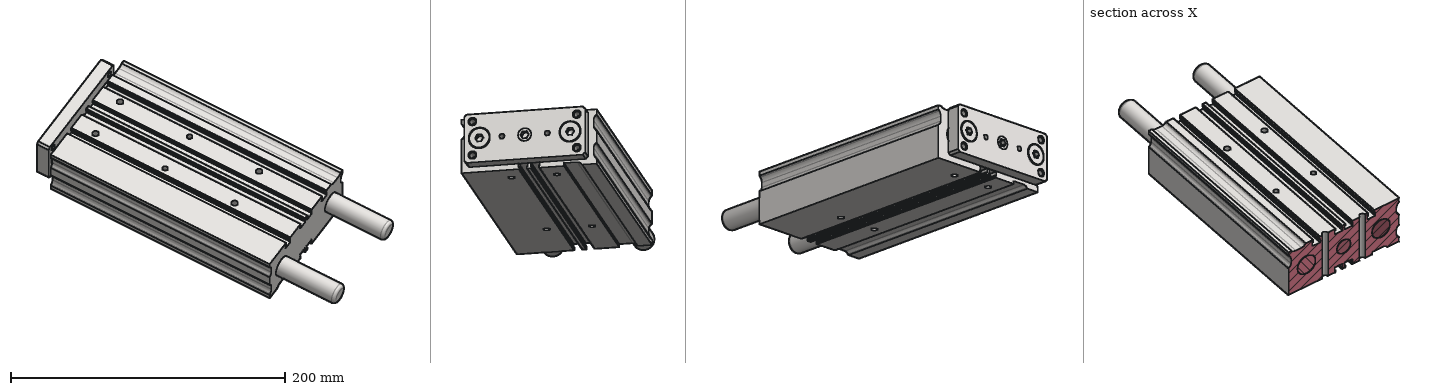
import cadquery as cq
import math

total_length = 253.0

plate_thickness = 10.0
plate_width = 90.3
plate_height = 37.2
plate_corner = 1.8
mount_spacing_y = 78.0
mount_spacing_z = 25.8
mount_hole_diameter = 4.5
mount_countersink_diameter = 6.0
mount_countersink_angle = 90.0
dowel_diameter = 3.8

housing_start = 15.2
housing_end = 203.2
housing_width = 101.0
housing_height = 42.0
housing_length = housing_end - housing_start
half_width = housing_width / 2
half_height = housing_height / 2

lead_in = 0.8
channel_depth = 2.3
arc_rise = channel_depth - lead_in
short_arc_run = 3.0
long_arc_run = 3.8
side_channel_start = 4.8
side_channel_floor = 3.8
top_channel_start = 34.7
top_channel_floor = 5.3
bottom_channel_start = -39.7
bottom_channel_floor = 9.9

slot_opening = 5.3
slot_undercut = 0.8
slot_chamfer = 0.5
inner_slot_y = 4.5
inner_slot_depth = 4.8
inner_slot_lip = 1.8
outer_slot_y = 25.0
outer_slot_depth = 5.8
outer_slot_lip = 2.8

fixing_row_y = 17.0
fixing_start_x = 33.0
fixing_pitch = 59.7
fixing_diameter = 4.8
locating_diameter = 4.0
locating_depth = 6.0

guide_diameter = 16.0
guide_y = 34.0
guide_front_chamfer = 0.5
guide_tip_radius = 2.5
piston_rod_diameter = 12.0
piston_rod_insertion = 20.2
piston_rod_end = housing_start + piston_rod_insertion
bolt_diameter = 9.9
hex_across_flats = 5.3
hex_depth = 4.0
drill_point_angle = 118.0


def rod_along_x(diameter, start, end, y=0.0):
    """Cylinder parallel to X between two X positions."""
    return cq.Workplane("YZ", origin=(start, y, 0)).circle(diameter / 2).extrude(end - start)


def hex_socket(y=0.0):
    """Hexagonal socket sunk from the front, with two corners pointing along Y."""
    across_corners = hex_across_flats / math.cos(math.pi / 6)
    return cq.Workplane("YZ", origin=(0, y, 0)).polygon(6, across_corners).extrude(hex_depth)


def drill_point(y):
    """Cone left by the drill at the bottom of a hex socket."""
    radius = hex_across_flats / 2
    height = radius / math.tan(math.radians(drill_point_angle / 2))
    cone = cq.Solid.makeCone(radius, 0, height, cq.Vector(hex_depth, y, 0), cq.Vector(1, 0, 0))
    return cq.Workplane(cone)


def begin_channel(y, z, along, outward, floor):
    """Profile from the face through the lead-in and short arc to the far end of the floor."""
    normal = cq.Vector(*along).cross(cq.Vector(*outward))
    plane = cq.Plane(origin=(housing_start, y, z), xDir=along, normal=normal)
    radius = (short_arc_run**2 + arc_rise**2) / (2 * arc_rise)
    arc_end = lead_in + short_arc_run
    half_angle = math.asin(short_arc_run / radius) / 2
    arc_middle = (
        arc_end - radius * math.sin(half_angle),
        -channel_depth + radius * (1 - math.cos(half_angle)),
    )
    return (
        cq.Workplane(plane)
        .lineTo(lead_in, -lead_in)
        .threePointArc(arc_middle, (arc_end, -channel_depth))
        .line(floor, 0)
    )


def add_long_arc(profile):
    """Concave arc from the end of the floor up to the lead-in depth."""
    return profile.tangentArcPoint((long_arc_run, arc_rise))


def finish_channel(profile):
    """Close the profile along the face and run it the length of the housing."""
    toward_back = profile.plane.zDir.x
    return profile.close().extrude(toward_back * housing_length)


def side_channel(outward_y, outward_z):
    """Channel in a side face, its short arc nearer to the middle height."""
    profile = begin_channel(
        outward_y * half_width,
        outward_z * side_channel_start,
        (0, 0, outward_z),
        (0, outward_y, 0),
        side_channel_floor,
    )
    return finish_channel(add_long_arc(profile).line(lead_in, lead_in))


def top_channel():
    """Channel in the top face; the land beyond it to the +Y edge stays lowered by the lead-in."""
    profile = begin_channel(top_channel_start, half_height, (0, 1, 0), (0, 0, 1), top_channel_floor)
    land_end = half_width - top_channel_start
    return finish_channel(add_long_arc(profile).lineTo(land_end, -lead_in).line(0, lead_in))


def bottom_channel():
    """Channel in the bottom face, ended by an upright wall."""
    profile = begin_channel(
        bottom_channel_start, -half_height, (0, 1, 0), (0, 0, -1), bottom_channel_floor
    )
    return finish_channel(profile.line(0, channel_depth))


def t_slot(y, depth, lip, left_chamfer=slot_chamfer, right_chamfer=slot_chamfer):
    """T-slot cutter in the top face; left is its -Y edge and right its +Y edge."""
    half_opening = slot_opening / 2
    half_inside = half_opening + slot_undercut
    points = [
        (-half_opening - left_chamfer, 0),
        (-half_opening, -left_chamfer),
        (-half_opening, -lip),
        (-half_inside, -lip),
        (-half_inside, -depth),
        (half_inside, -depth),
        (half_inside, -lip),
        (half_opening, -lip),
        (half_opening, -right_chamfer),
        (half_opening + right_chamfer, 0),
    ]
    outline = [point for i, point in enumerate(points) if i == 0 or point != points[i - 1]]
    profile = cq.Workplane("YZ", origin=(housing_start, y, half_height)).polyline(outline)
    return profile.close().extrude(housing_length)


def hole_from_top(x, y, diameter, depth):
    """Vertical hole cutter starting at the top face of the housing."""
    return cq.Workplane("XY", origin=(x, y, half_height)).circle(diameter / 2).extrude(-depth)


def make_housing():
    housing = cq.Workplane("XY").box(housing_length, housing_width, housing_height)
    housing = housing.translate((housing_start + housing_length / 2, 0, 0))

    for outward_y, outward_z in [(-1, 1), (-1, -1), (1, 1)]:
        housing = housing.cut(side_channel(outward_y, outward_z))
    housing = housing.cut(top_channel()).cut(bottom_channel())

    for side in (-1, 1):
        inner_slot = t_slot(side * inner_slot_y, inner_slot_depth, inner_slot_lip)
        housing = housing.cut(inner_slot).cut(inner_slot.mirror("XY"))
    housing = housing.cut(t_slot(outer_slot_y, outer_slot_depth, outer_slot_lip))
    housing = housing.cut(t_slot(-outer_slot_y, outer_slot_depth, outer_slot_lip, left_chamfer=0))

    for y in (-fixing_row_y, fixing_row_y):
        locating_x = fixing_start_x + fixing_pitch
        fixing_end_x = locating_x + fixing_pitch
        for x in (fixing_start_x, fixing_end_x):
            housing = housing.cut(hole_from_top(x, y, fixing_diameter, housing_height))
        housing = housing.cut(hole_from_top(locating_x, y, locating_diameter, locating_depth))

    for y in (-guide_y, guide_y):
        housing = housing.cut(rod_along_x(guide_diameter, housing_start, housing_end, y))
    return housing.cut(rod_along_x(piston_rod_diameter, housing_start, piston_rod_end))


def make_plate():
    plate = cq.Workplane("YZ").rect(plate_width, plate_height).extrude(plate_thickness)
    plate = plate.edges("|X").chamfer(plate_corner)
    plate = (
        plate.faces("<X")
        .workplane(origin=(0, 0, 0))
        .rect(mount_spacing_y, mount_spacing_z, forConstruction=True)
        .vertices()
        .cskHole(mount_hole_diameter, mount_countersink_diameter, mount_countersink_angle)
    )
    for side in (-1, 1):
        plate = plate.cut(rod_along_x(dowel_diameter, 0, plate_thickness, side * fixing_row_y))
        plate = plate.cut(rod_along_x(guide_diameter, 0, plate_thickness, side * guide_y))
    return plate.cut(rod_along_x(bolt_diameter, 0, plate_thickness))


def make_guide_rod(y):
    """Guide rod from the plate front, through the housing, to the rounded back tip."""
    rod = rod_along_x(guide_diameter, 0, total_length, y)
    rod = rod.faces("<X").edges().chamfer(guide_front_chamfer)
    rod = rod.faces(">X").edges().fillet(guide_tip_radius)
    return rod.cut(hex_socket(y)).cut(drill_point(y))


def make_piston_rod():
    return rod_along_x(piston_rod_diameter, plate_thickness, piston_rod_end)


def make_rod_bolt():
    """Bolt flush with the plate front and seated on the piston rod."""
    return rod_along_x(bolt_diameter, 0, plate_thickness).cut(hex_socket())


housing = make_housing()
plate = make_plate()
guide_rods = [make_guide_rod(y) for y in (-guide_y, guide_y)]
piston_rod = make_piston_rod()
rod_bolt = make_rod_bolt()

result = cq.Compound.makeCompound(
    [
        housing.val(),
        plate.val(),
        *[rod.val() for rod in guide_rods],
        piston_rod.val(),
        rod_bolt.val(),
    ]
)